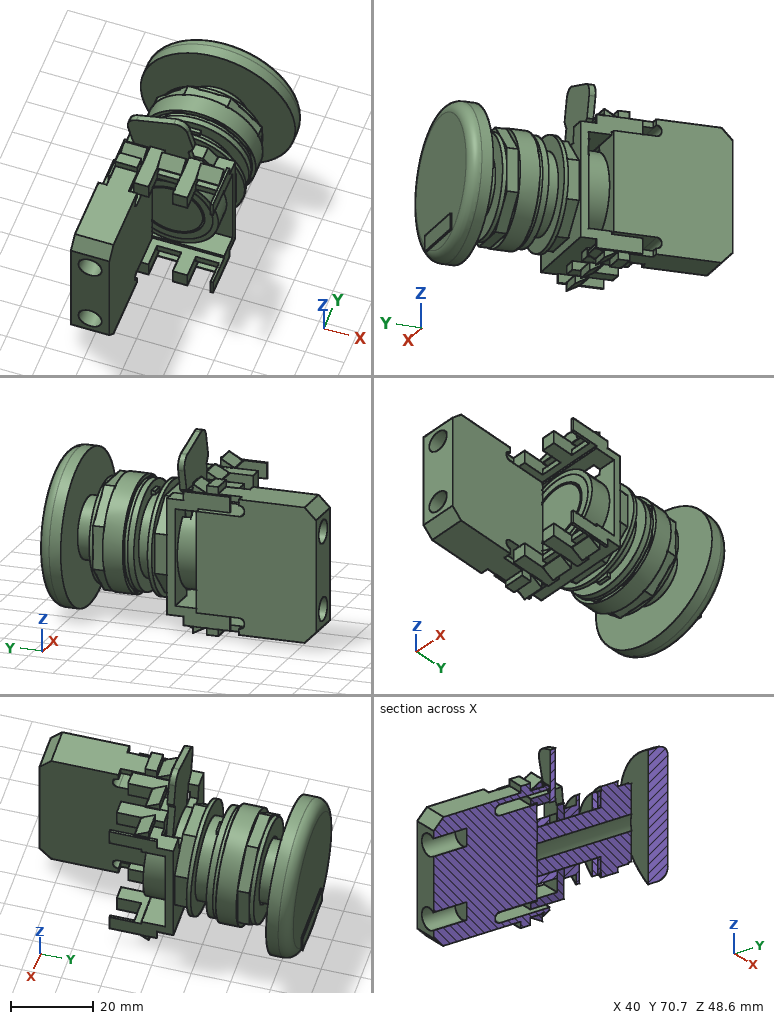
import cadquery as cq
import math


mark_front = 31.6
cap_front = 31.2
cap_back = 25.2
bezel_front = 20.2
bezel_collar_back = 19.2
grip_front = 16.2
grip_back = 11.05
gasket_front = 10.9
gasket_back = 10.05
locator_back = 8.4
lug_back = 7.4
nut_flange_front = 4.7
nut_flange_back = 3.6
plate_back = -2.1
lever_front = -2.55
arm_front = -4.25
barrel_back = -8.15
catch_front = -6.45
catch_back = -10.05
pusher_back = -13.0
finger_back = -16.2
slot_centre = -19.2
block_back = -39.1

cap_radius = 40.0 / 2
cap_rounding = 3.0
stem_radius = 8.0
mark_left, mark_right = -7.6, 9.8
mark_bottom, mark_top = -15.0, -10.9

barrel_radius = 10.6
bore_radius = 8.5
bezel_flats = 27.1
bezel_front_radius = 13.4
grip_radius = 14.85
gasket_radius = 14.0
lug_width = 3.4
lug_inner, lug_outer = 11.1, 12.0
nut_flats = 25.0
nut_flange_radius = 14.65

bracket_half_width = 27.1 / 2
plate_half_height = 15.0
opening_half_height = 25.0 / 2
arm_outer = 17.25
finger_inner = 13.2
wall_thickness = 0.67
finger_near, finger_far = 3.1, 6.9
catch_peak = 19.25
catch_bottom = 17.05
hub_radius = 12.2
cutout_floor = 11.0
cutout_half_floor, cutout_half_top = 8.5, 9.05
notch_half_width = 5.45

lever_tilt = 15.0
lever_left, lever_right = -6.5, 9.4
lever_top = 27.8
lever_corner_radius = 3.0
lever_shoulder = 19.2
neck_left, neck_right = -4.75, 7.7
neck_left_top, neck_right_top = 17.0, 17.55
collar_radius = 12.0
upper_slot_half_width = 8.2

block_left, block_width = -15.0, 10.0
block_half_height = 17.5
block_chamfer = 3.0
slot_inner, slot_outer = 13.1, 15.9
tongue_left, tongue_right = -12.9, -7.15
hook_tip, hook_back = -4.3, -6.15
hook_tip_height, hook_peak = 16.8, 17.8
terminal_radius = 6.0 / 2
terminal_height = 10.0
terminal_depth = 9.9


def across(front):
    """Workplane at the given station; sketches are in X and Z, extrusions run towards -Y."""
    return cq.Workplane("XZ", origin=(0, front, 0))


def disc(radius, front, back):
    return across(front).circle(radius).extrude(front - back)


def octagon(flats, front, back):
    """Octagonal prism with flats facing X and Z."""
    sides = 8
    corner_circle = flats / math.cos(math.pi / sides)
    prism = across(front).polygon(sides, corner_circle).extrude(front - back)
    return prism.rotate((0, 0, 0), (0, 1, 0), 180 / sides)


def box(x_range, y_range, z_range):
    """Box between two limits on each axis, given in either order."""
    ranges = (x_range, y_range, z_range)
    low = [min(limits) for limits in ranges]
    size = [max(limits) - min(limits) for limits in ranges]
    return cq.Workplane("XY").box(*size, centered=False).translate(tuple(low))


def side_prism(points, x_range):
    """Prism along X from an outline of (y, z) points."""
    left, right = x_range
    return cq.Workplane("YZ", origin=(left, 0, 0)).polyline(points).close().extrude(right - left)


def with_lower_copy(upper):
    return upper.union(upper.mirror("XY"))


def make_button():
    cap = disc(cap_radius, cap_front, cap_back).faces(">Y").edges().fillet(cap_rounding)
    stem = disc(stem_radius, cap_back, barrel_back)
    mark = box((mark_left, mark_right), (cap_front, mark_front), (mark_bottom, mark_top))
    return cap.union(stem).union(mark)


def make_bezel():
    collar_length = bezel_front - bezel_collar_back
    collar_base = cq.Vector(0, bezel_collar_back, 0)
    cone = cq.Solid.makeCone(
        bezel_flats / 2, bezel_front_radius, collar_length, collar_base, cq.Vector(0, 1, 0)
    )
    collar = cq.Workplane(cone)
    body = octagon(bezel_flats, bezel_collar_back, gasket_front)
    grip = disc(grip_radius, grip_front, grip_back)
    barrel = disc(barrel_radius, gasket_front, barrel_back)
    bore = disc(bore_radius, bezel_front, barrel_back)
    return collar.union(body).union(grip).union(barrel).cut(bore)


def make_gasket():
    bore = disc(barrel_radius, gasket_front, gasket_back)
    return disc(gasket_radius, gasket_front, gasket_back).cut(bore)


def make_locating_ring():
    bore = disc(barrel_radius, gasket_back, lug_back)
    ring = disc(gasket_radius, gasket_back, locator_back)
    lug_x = (-lug_width / 2, lug_width / 2)
    upper_lug = box(lug_x, (locator_back, lug_back), (lug_inner, lug_outer))
    lower_lug = box(lug_x, (locator_back, lug_back), (-lug_outer, 0))
    return ring.union(upper_lug).union(lower_lug).cut(bore)


def make_nut():
    flange = disc(nut_flange_radius, nut_flange_front, nut_flange_back)
    bore = disc(barrel_radius, nut_flange_front, 0)
    return flange.union(octagon(nut_flats, nut_flange_back, 0)).cut(bore)


def make_plate():
    width = (-bracket_half_width, bracket_half_width)
    plate = box(width, (plate_back, 0), (-plate_half_height, plate_half_height))
    notch = box((-notch_half_width, notch_half_width), (plate_back, 0),
                (-opening_half_height, -cutout_floor))
    return plate.cut(notch)


def make_upper_arm():
    """Arm root across the full width, two fingers, two end walls and three catches."""
    width = (-bracket_half_width, bracket_half_width)
    inner_wall = bracket_half_width - wall_thickness
    finger_height = (finger_inner, arm_outer)
    arm = box(width, (plate_back, barrel_back), (opening_half_height, plate_half_height))
    arm = arm.union(box(width, (barrel_back, catch_back), (finger_inner, plate_half_height)))
    for side in (-1, 1):
        for near, far in ((finger_near, finger_far), (inner_wall, bracket_half_width)):
            x_range = sorted((side * near, side * far))
            arm = arm.union(box(x_range, (arm_front, finger_back), finger_height))
    catch = [(catch_front, catch_bottom), (catch_front, catch_peak),
             (catch_back, arm_outer), (catch_back, catch_bottom)]
    for x_range in ((-inner_wall, -finger_far), (-finger_near, finger_near), (finger_far, inner_wall)):
        arm = arm.union(side_prism(catch, x_range))
    return arm


def make_bracket():
    bracket = make_plate().union(with_lower_copy(make_upper_arm()))
    cutout = (
        across(0)
        .moveTo(-cutout_half_floor, cutout_floor)
        .lineTo(cutout_half_floor, cutout_floor)
        .lineTo(cutout_half_top, plate_half_height)
        .lineTo(-cutout_half_top, plate_half_height)
        .close()
        .extrude(-arm_front)
    )
    hub = disc(hub_radius, 0, plate_back)
    return bracket.cut(cutout).union(hub).cut(disc(barrel_radius, 0, plate_back))


def make_lever():
    blade = (
        across(lever_front)
        .moveTo(neck_left, 0)
        .lineTo(neck_left, neck_left_top)
        .lineTo(lever_left, lever_shoulder)
        .lineTo(lever_left, lever_top)
        .lineTo(lever_right, lever_top)
        .lineTo(lever_right, lever_shoulder)
        .lineTo(neck_right, neck_right_top)
        .lineTo(neck_right, 0)
        .close()
        .extrude(lever_front - arm_front)
    )
    blade = blade.edges("|Y").edges(">Z").fillet(lever_corner_radius)
    blade = blade.rotate((0, 0, 0), (0, 1, 0), -lever_tilt)
    collar = disc(collar_radius, plate_back, barrel_back)
    upper_slot = box((-upper_slot_half_width, upper_slot_half_width), (plate_back, arm_front),
                     (0, collar_radius))
    lower_notch = box((-notch_half_width, notch_half_width), (plate_back, arm_front),
                      (-collar_radius, 0))
    bore = disc(barrel_radius, plate_back, barrel_back)
    return collar.cut(upper_slot).cut(lower_notch).union(blade).cut(bore)


def make_contact_block():
    block_x = (block_left, block_left + block_width)
    block = box(block_x, (barrel_back, block_back), (-block_half_height, block_half_height))
    block = block.faces("<Y").edges("|X").chamfer(block_chamfer)

    slot_radius = (slot_outer - slot_inner) / 2
    slot_middle = (slot_outer + slot_inner) / 2
    clearance = box(block_x, (barrel_back, slot_centre), (slot_inner, block_half_height))
    slot_end = (
        cq.Workplane("YZ", origin=(block_left, 0, 0))
        .center(slot_centre, slot_middle)
        .circle(slot_radius)
        .extrude(block_width)
    )
    block = block.cut(with_lower_copy(clearance)).cut(with_lower_copy(slot_end))

    tongue = [
        (slot_centre, slot_outer), (hook_tip, slot_outer), (hook_tip, hook_tip_height),
        (hook_back, hook_peak), (hook_back, catch_bottom), (catch_back, catch_bottom),
        (catch_back, catch_peak), (pusher_back, catch_peak), (pusher_back, block_half_height),
        (slot_centre, block_half_height),
    ]
    block = block.union(with_lower_copy(side_prism(tongue, (tongue_left, tongue_right))))

    terminals = (
        across(block_back + terminal_depth)
        .pushPoints([(block_left + block_width / 2, z) for z in (-terminal_height, terminal_height)])
        .circle(terminal_radius)
        .extrude(terminal_depth)
    )
    return block.cut(terminals)


button = make_button()
bezel = make_bezel()
gasket = make_gasket()
locating_ring = make_locating_ring()
nut = make_nut()
bracket = make_bracket()
lever = make_lever()
contact_block = make_contact_block()

result = cq.Compound.makeCompound([
    body.solids().val()
    for body in (button, bezel, gasket, locating_ring, nut, bracket, lever, contact_block)
])